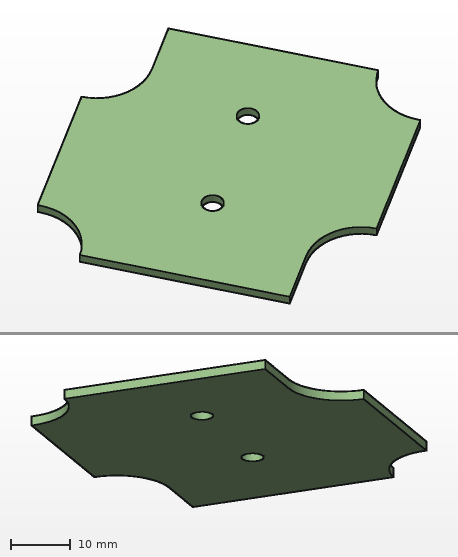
import cadquery as cq

side = 55.95
thickness = 1.6
half_side = side / 2

relief_radius = 9.5
deep_inset = 10.1
shallow_inset = 0.5

hole_diameter = 3.75
upper_hole_y = 11.5
hole_spacing = 21.55


def deep_relief():
    """Cutter for the upper left corner: a straight wall along Y ending in a quarter round."""
    round_y = half_side - deep_inset
    wall = cq.Workplane("XY").box(2 * relief_radius, 2 * deep_inset, thickness, centered=(True, True, False))
    cylinder = cq.Workplane("XY").center(-half_side, round_y).circle(relief_radius).extrude(thickness)
    return wall.translate((-half_side, half_side, 0)).union(cylinder)


def shallow_relief():
    """Cutter for the lower left corner: a short wall along X ending in a quarter round."""
    round_x = -half_side + shallow_inset
    wall = cq.Workplane("XY").box(2 * shallow_inset, 2 * relief_radius, thickness, centered=(True, True, False))
    cylinder = cq.Workplane("XY").center(round_x, -half_side).circle(relief_radius).extrude(thickness)
    return wall.translate((-half_side, -half_side, 0)).union(cylinder)


result = cq.Workplane("XY").box(side, side, thickness, centered=(True, True, False))

for turn in (0, 180):
    for cutter in (deep_relief(), shallow_relief()):
        result = result.cut(cutter.rotate((0, 0, 0), (0, 0, 1), turn))

hole_centers = [(0, upper_hole_y), (0, upper_hole_y - hole_spacing)]
holes = cq.Workplane("XY").pushPoints(hole_centers).circle(hole_diameter / 2).extrude(thickness)
result = result.cut(holes)